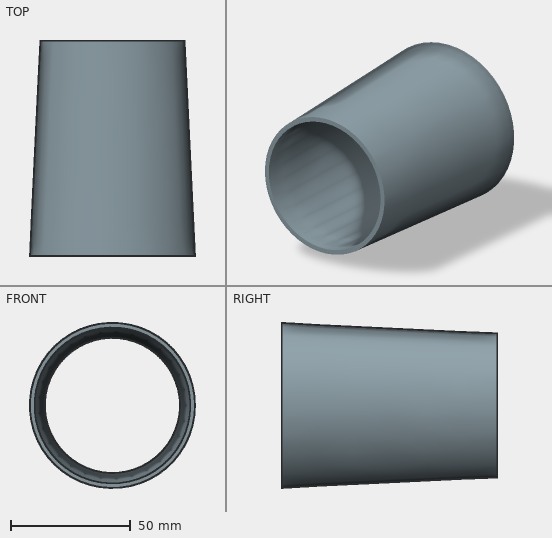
import cadquery as cq

length = 90
wide_diameter = 69.0
narrow_diameter = 60.3
wall = 2.0


def cone(wide, narrow):
    """Solid cone frustum around the Y axis, tapering from the wide to the narrow diameter."""
    half_section = [
        (0, 0),
        (wide / 2, 0),
        (narrow / 2, length),
        (0, length),
    ]
    profile = cq.Workplane("XY").polyline(half_section).close()
    return profile.revolve(360, (0, 0, 0), (0, 1, 0))


outer = cone(wide_diameter, narrow_diameter)
bore = cone(wide_diameter - 2 * wall, narrow_diameter - 2 * wall)
result = outer.cut(bore)